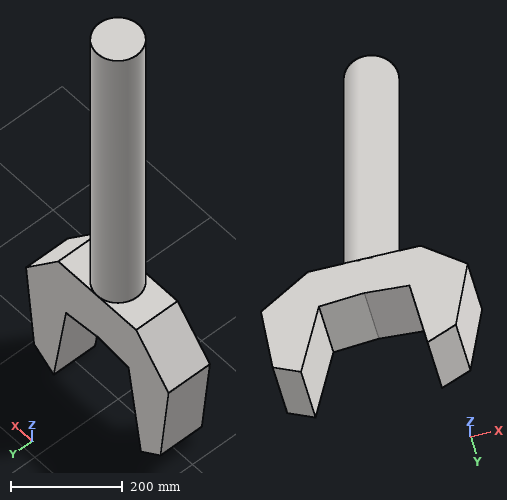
import cadquery as cq

total_height = 1038.0
thickness = 100.0
fork_width = 384.0

fork_height = 340.0
shoulder_height = 240.0
toe_height = 38.0
throat_corner_height = 211.0
throat_apex_height = 221.0

shoulder_half_width = fork_width / 2
crown_half_width = 105.0
toe_half_width = 170.0
tip_half_width = 117.0
throat_half_width = 84.0


def make_fork():
    """Symmetric two-pronged plate, centred on the XZ plane."""
    right_side = [
        (crown_half_width, fork_height),
        (shoulder_half_width, shoulder_height),
        (toe_half_width, toe_height),
        (tip_half_width, 0),
        (throat_half_width, throat_corner_height),
    ]
    left_side = [(-x, z) for x, z in reversed(right_side)]
    outline = right_side + [(0, throat_apex_height)] + left_side
    return cq.Workplane("XZ").polyline(outline).close().extrude(thickness / 2, both=True)


def make_shaft():
    """Round shaft standing on the crown of the fork."""
    return (
        cq.Workplane("XY", origin=(0, 0, fork_height))
        .circle(thickness / 2)
        .extrude(total_height - fork_height)
    )


result = make_fork().union(make_shaft())